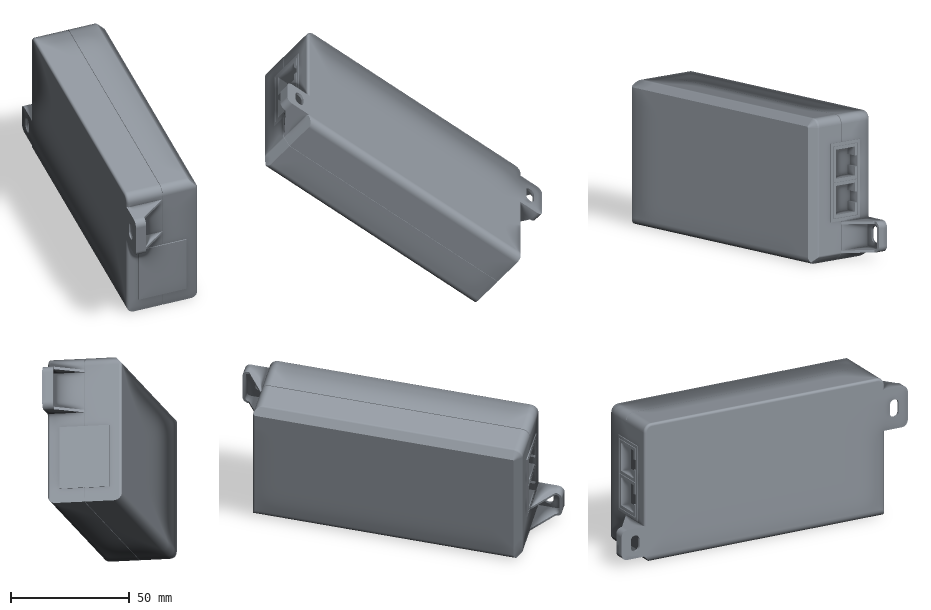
import cadquery as cq

overall_length = 138.5
depth = 31.9
height = 62.5
body_length = 116.3
half_body = body_length / 2
front_y = -depth / 2
back_y = depth / 2

top_corner_radius = 3.6
bottom_corner_chamfer = 3.2
bottom_edge_radius = 3.3
back_chamfer = 3.2
small_radius = 1.1

groove_width = 0.3
groove_depth = 0.3

panel_height = 0.4
network_panel_y = (-10.1, 6.2)
network_panel_z = (-13.8, 20.0)
power_panel_y = (-10.7, 10.7)
power_panel_z = (-25.2, 1.4)

socket_y = (-8.7, 4.8)
socket_divider_z = 3.0
socket_pitch = 15.5
socket_centers_z = (socket_divider_z - socket_pitch / 2, socket_divider_z + socket_pitch / 2)
socket_gap = 0.3
opening_y = (-7.3, 3.3)
opening_height = 12.5
latch_height = 4.7
socket_depth = 4.8

ear_lip_height = 4.6
ear_wall = 1.1
ear_corner_radius = 2.8
ear_overlap = 2.8
slot_offset = 62.7
slot_width = 4.2
left_ear_z = (-27.8, -14.4)
left_slot_length = 7.2
right_ear_z = (7.3, 25.8)
right_slot_length = 8.0


def box_between(x_range, y_range, z_range):
    """Box spanning the given (start, end) pairs."""
    sizes = [end - start for start, end in (x_range, y_range, z_range)]
    corner = (x_range[0], y_range[0], z_range[0])
    return cq.Workplane("XY").box(*sizes, centered=False).translate(corner)


def make_block(block_depth=depth, inset=0.0):
    """Sharp block of the housing size, its ends, top and bottom moved in by the inset."""
    return cq.Workplane("XY").box(body_length - 2 * inset, block_depth, height - 2 * inset)


def round_top_corners(block):
    """Round the two edges where the ends meet the top."""
    return block.edges("|Y and >Z").fillet(top_corner_radius)


def bevel_bottom_corner(block):
    """Bevel the edge where the -X end meets the bottom and soften the upper side of the bevel."""
    block = block.edges("<X and <Z").chamfer(bottom_corner_chamfer)
    return block.faces("<X").edges("<Z").fillet(small_radius)


def make_housing():
    """Solid housing, the common volume of blocks that each carry some of the rounded edges."""
    front_rounded = round_top_corners(make_block())
    front_rounded = front_rounded.faces("<Y").edges(">Z").fillet(small_radius)

    back_bevelled = make_block().edges("<X and >Z").fillet(top_corner_radius)
    back_bevelled = back_bevelled.faces(">Y").edges(">Z").chamfer(back_chamfer)
    back_bevelled = back_bevelled.faces("<X").edges(">Y").fillet(small_radius)

    bottom_rounded = make_block().edges("|X and <Z").fillet(bottom_edge_radius)
    ends_softened = bevel_bottom_corner(make_block().edges(">X and >Y").fillet(small_radius))

    housing = front_rounded.intersect(back_bevelled)
    return housing.intersect(bottom_rounded).intersect(ends_softened)


def make_parting_groove():
    """Thin ring removed around the housing at mid depth."""
    core = round_top_corners(make_block(groove_width, groove_depth))
    return make_block(groove_width).cut(bevel_bottom_corner(core))


def make_socket(center_z):
    """Gap around one network socket, plus its opening and latch notch."""
    outer_x = -half_body - panel_height
    gap_x = (outer_x, outer_x + panel_height)
    half_pitch = socket_pitch / 2
    half_gap = socket_gap / 2
    outer = box_between(
        gap_x,
        (socket_y[0] - half_gap, socket_y[1] + half_gap),
        (center_z - half_pitch - half_gap, center_z + half_pitch + half_gap),
    )
    inner = box_between(
        gap_x,
        (socket_y[0] + half_gap, socket_y[1] - half_gap),
        (center_z - half_pitch + half_gap, center_z + half_pitch - half_gap),
    )
    opening_x = (outer_x, outer_x + socket_depth)
    half_opening = opening_height / 2
    half_latch = latch_height / 2
    opening = box_between(opening_x, opening_y, (center_z - half_opening, center_z + half_opening))
    latch = box_between(
        opening_x, (socket_y[0], opening_y[0]), (center_z - half_latch, center_z + half_latch)
    )
    return outer.cut(inner).union(opening).union(latch)


def make_ear(side, z_range, slot_length):
    """Slotted tray-shaped ear with sloping side walls; side is -1 for -X and +1 for +X."""
    tip_x = overall_length / 2
    root_x = half_body - ear_overlap
    ear_height = z_range[1] - z_range[0]
    center_z = sum(z_range) / 2

    ear = cq.Workplane("XY").workplane(offset=z_range[0])
    ear = ear.moveTo(root_x, front_y).lineTo(tip_x, front_y).lineTo(tip_x, front_y + ear_lip_height)
    ear = ear.lineTo(tip_x - ear_corner_radius, front_y + ear_lip_height)
    ear = ear.lineTo(half_body, 0).lineTo(root_x, 0).close().extrude(ear_height)
    ear = ear.edges("|Y and >X").fillet(ear_corner_radius)

    hollow = box_between(
        (root_x, tip_x - ear_wall),
        (front_y + ear_wall, back_y),
        (z_range[0] + ear_wall, z_range[1] - ear_wall),
    )
    hollow = hollow.edges("|Y and >X").fillet(ear_corner_radius - ear_wall)

    slot = cq.Workplane("XZ").center(slot_offset, center_z)
    slot = slot.slot2D(slot_length, slot_width, 90).extrude(depth, both=True)
    ear = ear.cut(hollow).cut(slot)
    return ear if side > 0 else ear.mirror("YZ")


result = make_housing().cut(make_parting_groove())

panel_start = half_body - small_radius
panel_end = half_body + panel_height
result = result.union(box_between((-panel_end, -panel_start), network_panel_y, network_panel_z))
result = result.union(box_between((panel_start, panel_end), power_panel_y, power_panel_z))

for socket_center_z in socket_centers_z:
    result = result.cut(make_socket(socket_center_z))

result = result.union(make_ear(-1, left_ear_z, left_slot_length))
result = result.union(make_ear(1, right_ear_z, right_slot_length))